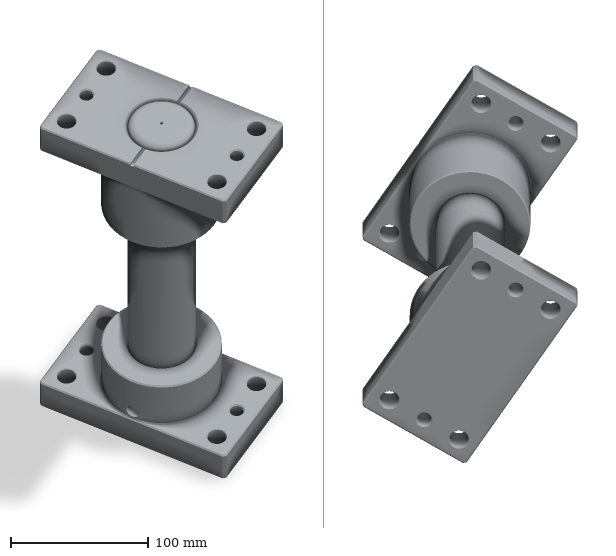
import cadquery as cq

FULL_TURN = 360.0
HALF_TURN = 180.0

PILLAR_DIAMETER = 50.0
PILLAR_LENGTH = 300.0
PILLAR_FILLET = 6.0
CENTRE_HOLE_DIAMETER = 2.0
CENTRE_HOLE_CHAMFER = 0.5
CENTRE_HOLE_CHAMFER_ANGLE = 90.0
CENTRE_HOLE_DEPTH = 6.0

PLATE_LENGTH = 155.0
PLATE_WIDTH = 90.0
PLATE_THICKNESS = 25.0
PLATE_CORNER_CHAMFER = 2.0
PLATE_RIM_CHAMFER = 1.0
BOLT_HOLE_DIAMETER = 14.0
BOLT_HOLE_CHAMFER = 0.5
DOWEL_HOLE_DIAMETER = 10.0
DOWEL_HOLE_CHAMFER = 1.0
HOLE_END_DISTANCE = 15.0
HOLE_X = PLATE_LENGTH / 2 - HOLE_END_DISTANCE
BOLT_HOLE_Y = 30.0

BORE_RADIUS = PILLAR_DIAMETER / 2
COLLAR_DIAMETER = 88.0
COLLAR_CHAMFER = 1.0
COLLAR_FILLET = 1.0
COLLAR_BORE_CHAMFER = 1.0
FOOT_COLLAR_HEIGHT = 40.0
BUSH_COLLAR_HEIGHT = 60.0

SCREW_HOLE_DIAMETER = 10.5
SCREW_HOLE_Z = 32.5

BUSH_TOP_Z = 298.0
BUSH_MOUTH_CHAMFER = 2.0
GROOVE_WIDTH = 3.0
GROOVE_DEPTH = 2.0


def chamfered_hole(diameter, chamfer):
    """Cutter for a hole through a plate, widened at both mouths."""
    radius = diameter / 2
    mouth_radius = radius + chamfer
    return (
        cq.Workplane("XZ")
        .lineTo(mouth_radius, 0)
        .lineTo(radius, chamfer)
        .lineTo(radius, PLATE_THICKNESS - chamfer)
        .lineTo(mouth_radius, PLATE_THICKNESS)
        .lineTo(0, PLATE_THICKNESS)
        .close()
        .revolve(FULL_TURN, (0, 0), (0, 1))
    )


def make_flanged_collar(collar_height):
    """Plate resting on Z = 0 with a bored collar standing on its upper face."""
    plate = (
        cq.Workplane("XY")
        .box(PLATE_LENGTH, PLATE_WIDTH, PLATE_THICKNESS, centered=(True, True, False))
        .edges("|Z")
        .chamfer(PLATE_CORNER_CHAMFER)
        .faces("<Z or >Z")
        .edges()
        .chamfer(PLATE_RIM_CHAMFER)
    )

    radius = COLLAR_DIAMETER / 2
    top = PLATE_THICKNESS + collar_height
    collar = (
        cq.Workplane("XZ")
        .moveTo(0, PLATE_THICKNESS)
        .lineTo(radius + COLLAR_FILLET, PLATE_THICKNESS)
        .radiusArc((radius, PLATE_THICKNESS + COLLAR_FILLET), COLLAR_FILLET)
        .lineTo(radius, top - COLLAR_CHAMFER)
        .lineTo(radius - COLLAR_CHAMFER, top)
        .lineTo(0, top)
        .close()
        .revolve(FULL_TURN, (0, 0), (0, 1))
    )

    flat_width = PLATE_WIDTH - 2 * PLATE_RIM_CHAMFER
    collar = collar.intersect(
        cq.Workplane("XY").box(PLATE_LENGTH, flat_width, top, centered=(True, True, False))
    )

    bolt_points = [(x, y) for x in (-HOLE_X, HOLE_X) for y in (-BOLT_HOLE_Y, BOLT_HOLE_Y)]
    dowel_points = [(-HOLE_X, 0), (HOLE_X, 0)]
    bolt_hole = chamfered_hole(BOLT_HOLE_DIAMETER, BOLT_HOLE_CHAMFER)
    dowel_hole = chamfered_hole(DOWEL_HOLE_DIAMETER, DOWEL_HOLE_CHAMFER)
    holes = [bolt_hole.translate((x, y, 0)) for x, y in bolt_points]
    holes += [dowel_hole.translate((x, y, 0)) for x, y in dowel_points]

    bore = cq.Workplane("XY").circle(BORE_RADIUS)
    bore_mouth = cq.Workplane(
        cq.Solid.makeCone(
            BORE_RADIUS,
            BORE_RADIUS + COLLAR_BORE_CHAMFER,
            COLLAR_BORE_CHAMFER,
            pnt=(0, 0, top - COLLAR_BORE_CHAMFER),
        )
    )
    flanged_collar = plate.union(collar).cut(bore.extrude(top)).cut(bore_mouth)
    for hole in holes:
        flanged_collar = flanged_collar.cut(hole)
    return flanged_collar


def make_foot():
    """Foot with a radial screw hole from the -Y side of its collar to the bore."""
    screw_hole = (
        cq.Workplane("XZ")
        .center(0, SCREW_HOLE_Z)
        .circle(SCREW_HOLE_DIAMETER / 2)
        .extrude(COLLAR_DIAMETER)
    )
    return make_flanged_collar(FOOT_COLLAR_HEIGHT).cut(screw_hole)


def make_bush():
    """Guide bush: plate on top, collar hanging below, relief and grooves in the top face."""
    relief = cq.Workplane(
        cq.Solid.makeCone(BORE_RADIUS + BUSH_MOUTH_CHAMFER, BORE_RADIUS, BUSH_MOUTH_CHAMFER)
    )
    grooves = cq.Workplane("XY").box(
        GROOVE_WIDTH, PLATE_WIDTH, GROOVE_DEPTH, centered=(True, True, False)
    )
    return (
        make_flanged_collar(BUSH_COLLAR_HEIGHT)
        .cut(relief)
        .cut(grooves)
        .rotate((0, 0, 0), (1, 0, 0), HALF_TURN)
        .translate((0, 0, BUSH_TOP_Z))
    )


def make_pillar():
    """Plain pillar with a rounded top edge and a small centre hole."""
    return (
        cq.Workplane("XY")
        .circle(PILLAR_DIAMETER / 2)
        .extrude(PILLAR_LENGTH)
        .faces(">Z")
        .edges()
        .fillet(PILLAR_FILLET)
        .faces(">Z")
        .workplane()
        .cskHole(
            CENTRE_HOLE_DIAMETER,
            CENTRE_HOLE_DIAMETER + 2 * CENTRE_HOLE_CHAMFER,
            CENTRE_HOLE_CHAMFER_ANGLE,
            CENTRE_HOLE_DEPTH,
        )
    )


foot = make_foot()
bush = make_bush()
pillar = make_pillar()

result = cq.Compound.makeCompound([foot.val(), bush.val(), pillar.val()])